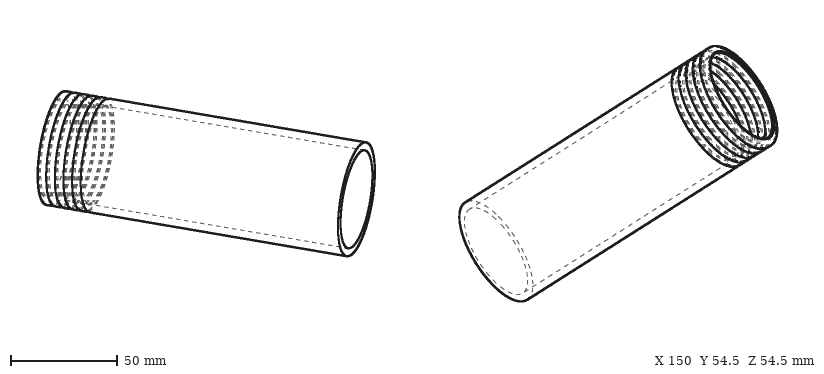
import cadquery as cq

length = 150.0
outer_diameter = 54.5
valley_diameter = 47.7
wall = 0.5

ridge_count = 5
ridges_length = 21.5
ridge_width = 2.8
bend_radius = 0.38

ridge_pitch = ridges_length / ridge_count
valley_width = ridge_pitch - ridge_width


def skin_solid(inset, rises_to_tube):
    """Solid of revolution enclosed by the sheet surface lying `inset` inside the outer skin."""
    valley_radius = valley_diameter / 2 - inset
    crest_radius = outer_diameter / 2 - inset
    crest_width = ridge_width - 2 * inset

    first_wall = valley_width / 2 + inset

    def climb(profile, wall_x):
        """Run along a valley, bend up the wall and bend onto the crest."""
        return (
            profile.lineTo(wall_x - bend_radius, valley_radius)
            .tangentArcPoint((wall_x, valley_radius + bend_radius), relative=False)
            .lineTo(wall_x, crest_radius - bend_radius)
            .tangentArcPoint((wall_x + bend_radius, crest_radius), relative=False)
        )

    def descend(profile, wall_x):
        """Run along a crest, bend down the wall and bend into the valley."""
        return (
            profile.lineTo(wall_x - bend_radius, crest_radius)
            .tangentArcPoint((wall_x, crest_radius - bend_radius), relative=False)
            .lineTo(wall_x, valley_radius + bend_radius)
            .tangentArcPoint((wall_x + bend_radius, valley_radius), relative=False)
        )

    profile = cq.Workplane("XY").lineTo(0, valley_radius)
    for ridge in range(ridge_count):
        ridge_start = first_wall + ridge * ridge_pitch
        profile = climb(profile, ridge_start)
        profile = descend(profile, ridge_start + crest_width)

    end_radius = valley_radius
    if rises_to_tube:
        profile = climb(profile, first_wall + ridges_length)
        end_radius = crest_radius
    profile = profile.lineTo(length, end_radius).lineTo(length, 0).close()
    return profile.revolve(360, (0, 0, 0), (1, 0, 0))


result = skin_solid(0, rises_to_tube=True).cut(skin_solid(wall, rises_to_tube=False))